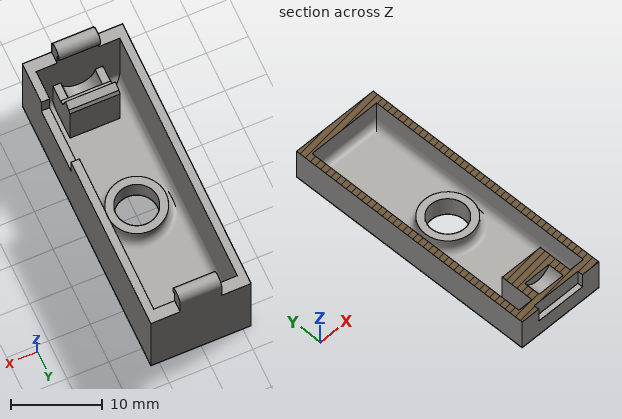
import cadquery as cq
import math

width = 12.0
length = 34.6
body_height = 10.5
total_height = 13.4
side_wall = 1.0
end_wall = 1.5
floor_thickness = 0.8
floor_fillet = 1.0

hole_diameter = 5.0
boss_diameter = 7.0
boss_top = 2.7
boss_fillet = 1.0

hook_width = 4.98
hook_radius = 1.0
hook_overlap = 0.3

notch_start = 5.12
notch_length = 8.0
notch_depth = 2.18

window_width = 6.78
window_height = 5.75
window_bottom = 2.35
window_depth = 0.7

support_width = 6.0
cradle_diameter = 4.1
cradle_end = 3.65
stop_top = 5.57
ramp_foot = 4.12
ramp_peak = 4.85
ramp_end = 5.78
support_end = 6.05
ramp_tilt = 20.0
tip_tilt = 56.0

front = -length / 2
inner_width = width - 2 * side_wall
inner_length = length - 2 * end_wall


def make_body():
    """Open box whose inside floor edges are rounded."""
    body = cq.Workplane("XY").box(width, length, body_height, centered=(True, True, False))
    cavity = (
        cq.Workplane("XY")
        .workplane(offset=floor_thickness)
        .box(inner_width, inner_length, body_height, centered=(True, True, False))
        .faces("<Z")
        .edges()
        .fillet(floor_fillet)
    )
    return body.cut(cavity)


def make_boss():
    """Round boss with a concave flare at its foot, kept inside the outer walls."""
    boss_radius = boss_diameter / 2
    flare_radius = boss_radius + boss_fillet
    flare_top = floor_thickness + boss_fillet
    arc_reach = boss_fillet * (1 - math.sqrt(0.5))
    return (
        cq.Workplane("XZ")
        .moveTo(0, 0)
        .lineTo(flare_radius, 0)
        .lineTo(flare_radius, floor_thickness)
        .threePointArc((boss_radius + arc_reach, floor_thickness + arc_reach), (boss_radius, flare_top))
        .lineTo(boss_radius, boss_top)
        .lineTo(0, boss_top)
        .close()
        .revolve(360, (0, 0, 0), (0, 1, 0))
    )


def make_hook():
    """Snap hook on the -Y wall, its rounded head reaching inward."""
    head_y = front + hook_radius
    head_z = total_height - hook_radius
    lip_y = head_y + hook_radius
    lip_z = head_z - hook_overlap
    return (
        cq.Workplane("YZ")
        .moveTo(front, body_height)
        .lineTo(front, head_z)
        .threePointArc((head_y, total_height), (lip_y, head_z))
        .lineTo(lip_y, lip_z)
        .lineTo(front + end_wall, lip_z)
        .lineTo(front + end_wall, body_height)
        .close()
        .extrude(hook_width / 2, both=True)
    )


def make_support():
    """Block with a half-round cradle, a stop and a tilted ramp behind it."""
    tilt = math.radians(ramp_tilt)
    cradle_top = window_bottom + window_height / 2
    peak_z = stop_top + (ramp_peak - ramp_foot) / math.tan(tilt)
    ramp_end_z = peak_z - (ramp_end - ramp_peak) * math.tan(tilt)
    tip_z = ramp_end_z - (support_end - ramp_end) * math.tan(math.radians(tip_tilt))
    profile = [
        (end_wall, 0),
        (end_wall, cradle_top),
        (cradle_end, cradle_top),
        (cradle_end, stop_top),
        (ramp_foot, stop_top),
        (ramp_peak, peak_z),
        (ramp_end, ramp_end_z),
        (support_end, tip_z),
        (support_end, 0),
    ]
    block = (
        cq.Workplane("YZ", origin=(0, front, 0))
        .polyline(profile)
        .close()
        .extrude(support_width / 2, both=True)
    )
    cradle = (
        cq.Workplane("XZ", origin=(0, front + end_wall, cradle_top))
        .circle(cradle_diameter / 2)
        .extrude(end_wall - cradle_end)
    )
    return block.cut(cradle)


def make_notch():
    return cq.Workplane("XY").box(side_wall, notch_length, notch_depth, centered=False).translate(
        (inner_width / 2, front + notch_start, body_height - notch_depth)
    )


def make_window():
    return cq.Workplane("XY").box(
        window_width, window_depth, window_height, centered=(True, False, False)
    ).translate((0, front, window_bottom))


hook = make_hook()
hole = cq.Workplane("XY").circle(hole_diameter / 2).extrude(body_height)

result = (
    make_body()
    .union(make_boss())
    .union(make_support())
    .union(hook)
    .union(hook.mirror("XZ"))
    .cut(hole)
    .cut(make_notch())
    .cut(make_window())
)